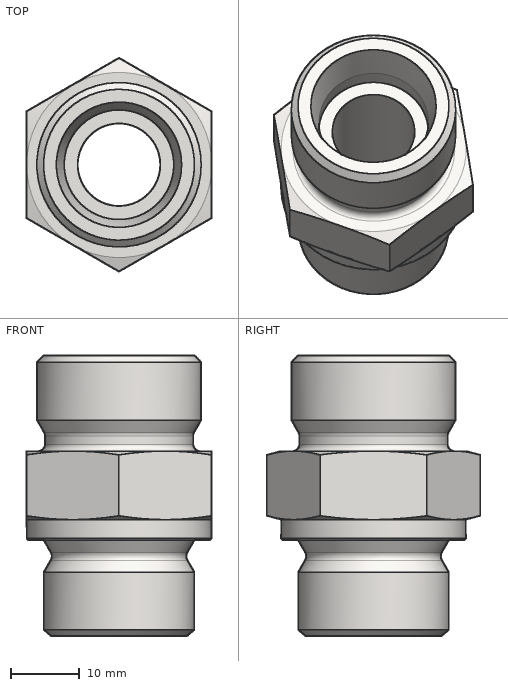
import cadquery as cq
import math

length = 41.0
top_z = length / 2
bottom_z = -length / 2
undercut_angle = math.radians(30)

across_flats = 27.0
across_corners = across_flats / math.cos(math.radians(30))
hex_top_z = top_z - 14.0
hex_height = 10.0
hex_bottom_z = hex_top_z - hex_height
hex_chamfer_angle = math.radians(15)
collar_height = 3.0
collar_radius = across_flats / 2
collar_bottom_z = hex_bottom_z - collar_height
collar_chamfer = 0.25

upper_radius = 24.0 / 2
upper_chamfer = 1.0
upper_land_end_z = top_z - 9.47
neck_radius = 21.7 / 2
neck_fillet = 1.0

lower_radius = 22.0 / 2
lower_chamfer_radial = 1.1
lower_chamfer_height = 0.95
groove_width = 4.67
groove_root_radius = 1.2

bore_radius = 12.0 / 2
mouth_radius = 18.3 / 2
socket_radius = 16.0 / 2
socket_taper = math.radians(12)
socket_depth = 8.5


def revolve_about_axis(profile):
    """Turn a closed radius-height outline into a solid of revolution about Z."""
    return profile.close().revolve(360, (0, 0, 0), (0, 1, 0))


def make_upper_stud():
    """Upper stud with a cylindrical neck blended into the hexagon."""
    cone_height = (upper_radius - neck_radius) / math.tan(undercut_angle)
    neck_corner_z = upper_land_end_z - cone_height
    tangent_length = neck_fillet * math.tan(undercut_angle / 2)
    neck_top_z = neck_corner_z - tangent_length
    fillet_center_radius = neck_radius + neck_fillet
    root_center_z = hex_top_z + neck_fillet

    def fillet_point(center_z, angle):
        return (
            fillet_center_radius - neck_fillet * math.cos(angle),
            center_z + neck_fillet * math.sin(angle),
        )

    profile = (
        cq.Workplane("XZ")
        .moveTo(0, hex_top_z)
        .lineTo(fillet_center_radius, hex_top_z)
        .threePointArc(fillet_point(root_center_z, -math.pi / 4), (neck_radius, root_center_z))
        .lineTo(neck_radius, neck_top_z)
        .threePointArc(
            fillet_point(neck_top_z, undercut_angle / 2),
            fillet_point(neck_top_z, undercut_angle),
        )
        .lineTo(upper_radius, upper_land_end_z)
        .lineTo(upper_radius, top_z - upper_chamfer)
        .lineTo(upper_radius - upper_chamfer, top_z)
        .lineTo(0, top_z)
    )
    return revolve_about_axis(profile)


def make_lower_stud():
    """Lower stud with a rounded V groove, and the collar above it."""
    groove_mid_z = collar_bottom_z - groove_width / 2
    apex_radius = lower_radius - groove_width / 2 * math.tan(undercut_angle)
    root_center_radius = apex_radius + groove_root_radius / math.cos(undercut_angle)
    tangent_radius = root_center_radius - groove_root_radius * math.cos(undercut_angle)
    tangent_offset = groove_root_radius * math.sin(undercut_angle)
    profile = (
        cq.Workplane("XZ")
        .moveTo(0, bottom_z)
        .lineTo(lower_radius - lower_chamfer_radial, bottom_z)
        .lineTo(lower_radius, bottom_z + lower_chamfer_height)
        .lineTo(lower_radius, collar_bottom_z - groove_width)
        .lineTo(tangent_radius, groove_mid_z - tangent_offset)
        .threePointArc(
            (root_center_radius - groove_root_radius, groove_mid_z),
            (tangent_radius, groove_mid_z + tangent_offset),
        )
        .lineTo(lower_radius, collar_bottom_z)
        .lineTo(collar_radius - collar_chamfer, collar_bottom_z)
        .lineTo(collar_radius, collar_bottom_z + collar_chamfer)
        .lineTo(collar_radius, hex_bottom_z)
        .lineTo(0, hex_bottom_z)
    )
    return revolve_about_axis(profile)


def make_hexagon():
    """Hexagon with corners on the Y axis, chamfered at both ends by shallow cones."""
    prism = (
        cq.Workplane("XY", origin=(0, 0, hex_bottom_z))
        .transformed(rotate=(0, 0, 90))
        .polygon(6, across_corners)
        .extrude(hex_height)
    )
    envelope_radius = across_corners / 2 + 0.4
    corner_drop = (envelope_radius - collar_radius) * math.tan(hex_chamfer_angle)
    envelope = (
        cq.Workplane("XZ")
        .moveTo(0, hex_bottom_z)
        .lineTo(collar_radius, hex_bottom_z)
        .lineTo(envelope_radius, hex_bottom_z + corner_drop)
        .lineTo(envelope_radius, hex_top_z - corner_drop)
        .lineTo(collar_radius, hex_top_z)
        .lineTo(0, hex_top_z)
    )
    return prism.intersect(revolve_about_axis(envelope))


def make_passage():
    """Through bore with a stepped socket that tapers open at the upper end."""
    taper_height = (mouth_radius - socket_radius) / math.tan(socket_taper)
    profile = (
        cq.Workplane("XZ")
        .moveTo(0, bottom_z)
        .lineTo(bore_radius, bottom_z)
        .lineTo(bore_radius, top_z - socket_depth)
        .lineTo(socket_radius, top_z - socket_depth)
        .lineTo(socket_radius, top_z - taper_height)
        .lineTo(mouth_radius, top_z)
        .lineTo(0, top_z)
    )
    return revolve_about_axis(profile)


result = make_lower_stud().union(make_hexagon()).union(make_upper_stud()).cut(make_passage())